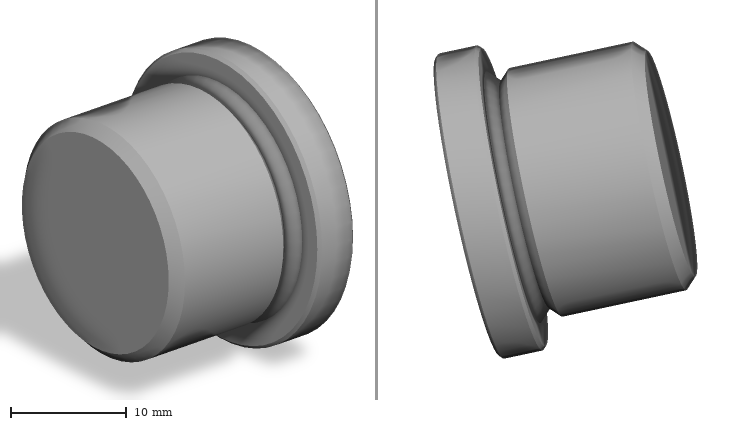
import cadquery as cq

flange_diameter = 27.0
flange_thickness = 4.0
flange_chamfer = 0.3

overall_length = 18.0
body_diameter = 22.0
body_end_chamfer = 1.0

groove_floor_diameter = 20.15
groove_mouth_diameter = 22.3

flange_radius = flange_diameter / 2
body_radius = body_diameter / 2
groove_floor_radius = groove_floor_diameter / 2
groove_mouth_radius = groove_mouth_diameter / 2

groove_floor_position = flange_thickness + groove_mouth_radius - groove_floor_radius
body_start_position = groove_floor_position + body_radius - groove_floor_radius


def half_profile():
    """Closed outline of half the section: X is the radius, -Y runs to the plug end."""
    return (
        cq.Workplane("XY")
        .moveTo(0, 0)
        .lineTo(flange_radius - flange_chamfer, 0)
        .lineTo(flange_radius, -flange_chamfer)
        .lineTo(flange_radius, -(flange_thickness - flange_chamfer))
        .lineTo(flange_radius - flange_chamfer, -flange_thickness)
        .lineTo(groove_mouth_radius, -flange_thickness)
        .lineTo(groove_floor_radius, -groove_floor_position)
        .lineTo(body_radius, -body_start_position)
        .lineTo(body_radius, -(overall_length - body_end_chamfer))
        .lineTo(body_radius - body_end_chamfer, -overall_length)
        .lineTo(0, -overall_length)
        .close()
    )


result = half_profile().revolve(360, (0, 0, 0), (0, 1, 0))